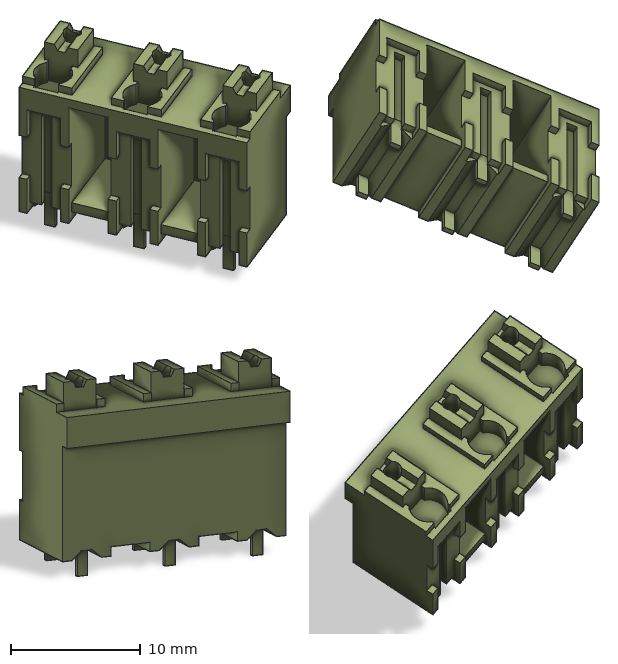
import cadquery as cq


length = 19.13
pole_count = 3
pole_pitch = 7.5
pole_gap = 3.3
pole_xs = [(i - (pole_count - 1) / 2) * pole_pitch for i in range(pole_count)]
gap_xs = [x + pole_pitch / 2 for x in pole_xs[:-1]]

base_z = 1.51
body_top_z = 13.18
pad_top_z = 13.83
flange_bottom_z = 10.71

flange_back_y = 8.5
body_back_y = 7.75
pad_front_y = 0.63
pad_back_y = 6.62

pocket_floor_z = 3.1
pocket_roof_z = 12.4
slab_bottom_z = 2.25
back_wall = 0.65

recess_depth = 0.57
window_width = 2.81
window_top_z = 11.23
upper_leg_bottom_z = 8.67
lower_leg_top_z = 4.7
groove_top_z = 10.65

funnel_top_z = 2.22
funnel_mouth_width = 2.56

pin_width = 0.88
pin_thickness = 0.38
pin_top_z = pocket_floor_z
front_pin_y = 1.15
rear_pin_y = 6.62

entry_offset = -0.05
entry_radius = 1.51
entry_center_y = 1.95
entry_slot_width = 2.0
entry_front_y = 0.5
entry_floor_z = 11.94

button_width = window_width
button_front_y = 3.4
button_back_y = 6.5
button_top_z = 15.45
notch_top_width = 1.17
notch_floor_width = 0.61
notch_depth = 0.54
button_hole_radius = 0.7
button_hole_offset = 0.04
button_hole_y = 5.53


def box(x_center, width, y_range, z_range):
    """Upright block centred on x_center, between the two given Y and the two given Z."""
    y0, y1 = y_range
    z0, z1 = z_range
    return cq.Workplane("XY").box(width, y1 - y0, z1 - z0, centered=(True, False, False)).translate(
        (x_center, y0, z0)
    )


def prism_along_y(points, y_range):
    """XZ outline extruded between the two given Y."""
    y0, y1 = y_range
    return cq.Workplane("XZ", origin=(0, y0, 0)).polyline(points).close().extrude(y0 - y1)


def housing_block():
    """Full-length body with the rear flange and the raised pad on top."""
    body = box(0, length, (0, body_back_y), (base_z, body_top_z))
    flange = box(0, length, (body_back_y, flange_back_y), (flange_bottom_z, body_top_z))
    pad = box(0, length, (pad_front_y, pad_back_y), (body_top_z, pad_top_z))
    return body.union(flange).union(pad)


def gap_cut(x):
    """Everything removed between two poles: the pad, the pocket and the space around its floor slab."""
    pad_gap = box(x, pole_gap, (pad_front_y, pad_back_y), (body_top_z, pad_top_z))
    pocket = box(x, pole_gap, (0, body_back_y - back_wall), (pocket_floor_z, pocket_roof_z))
    slab_front = box(x, pole_gap, (0, recess_depth), (base_z, pocket_floor_z))
    below_slab = box(x, pole_gap, (0, body_back_y), (base_z, slab_bottom_z))
    return pad_gap.union(pocket).union(slab_front).union(below_slab)


def front_recess_cut(x):
    """Shallow window between the legs, and the break between the upper and lower legs."""
    window = box(x, window_width, (0, recess_depth), (base_z, window_top_z))
    leg_break = box(x, pole_pitch, (0, recess_depth), (lower_leg_top_z, upper_leg_bottom_z))
    return window.union(leg_break)


def pin_groove_cut(x):
    """Vertical groove whose floor is flush with the front pin."""
    return box(x, pin_width, (0, front_pin_y), (base_z, groove_top_z))


def funnel_cut(x):
    """Open space under the pole: a square notch at the front, then a channel with sloping sides."""
    notch = box(x, window_width, (0, front_pin_y), (base_z, funnel_top_z))
    outline = [
        (x - funnel_mouth_width / 2, base_z),
        (x + funnel_mouth_width / 2, base_z),
        (x + pin_width / 2, funnel_top_z),
        (x - pin_width / 2, funnel_top_z),
    ]
    return notch.union(prism_along_y(outline, (front_pin_y, body_back_y)))


def wire_entry_cut(x):
    """Round wire hole merged with a straight slot that opens the front of the pad."""
    height = pad_top_z - entry_floor_z
    hole = (
        cq.Workplane("XY", origin=(x + entry_offset, entry_center_y, entry_floor_z))
        .circle(entry_radius)
        .extrude(height)
    )
    trim = box(
        x + entry_offset, 2 * entry_radius, (entry_front_y, button_front_y), (entry_floor_z, pad_top_z)
    )
    slot = box(
        x + entry_offset, entry_slot_width, (entry_front_y, button_front_y), (entry_floor_z, pad_top_z)
    )
    return hole.intersect(trim).union(slot)


def button_seat_cut(x):
    """Recess for the push button, with a small clearance behind it."""
    return box(x, button_width, (button_front_y, pad_back_y), (entry_floor_z, pad_top_z))


def make_button(x):
    """Push button with a trapezoidal notch across its top and a round hole down through it."""
    notch_floor_z = button_top_z - notch_depth
    notch = prism_along_y(
        [
            (x - notch_top_width / 2, button_top_z),
            (x - notch_floor_width / 2, notch_floor_z),
            (x + notch_floor_width / 2, notch_floor_z),
            (x + notch_top_width / 2, button_top_z),
        ],
        (button_front_y, button_back_y),
    )
    hole = (
        cq.Workplane("XY", origin=(x + button_hole_offset, button_hole_y, entry_floor_z))
        .circle(button_hole_radius)
        .extrude(button_top_z - entry_floor_z)
    )
    block = box(x, button_width, (button_front_y, button_back_y), (entry_floor_z, button_top_z))
    return block.cut(notch).cut(hole)


def make_pin(x, y):
    """Flat solder pin whose front face is at y."""
    return box(x, pin_width, (y, y + pin_thickness), (0, pin_top_z))


buttons = [make_button(x) for x in pole_xs]
pins = [make_pin(x, y) for x in pole_xs for y in (front_pin_y, rear_pin_y)]

housing = housing_block()
for gap_x in gap_xs:
    housing = housing.cut(gap_cut(gap_x))
for pole_x in pole_xs:
    for make_cut in (front_recess_cut, pin_groove_cut, funnel_cut, wire_entry_cut, button_seat_cut):
        housing = housing.cut(make_cut(pole_x))
for pin in pins:
    housing = housing.cut(pin)

result = cq.Compound.makeCompound(
    [housing.val(), *[button.val() for button in buttons], *[pin.val() for pin in pins]]
)